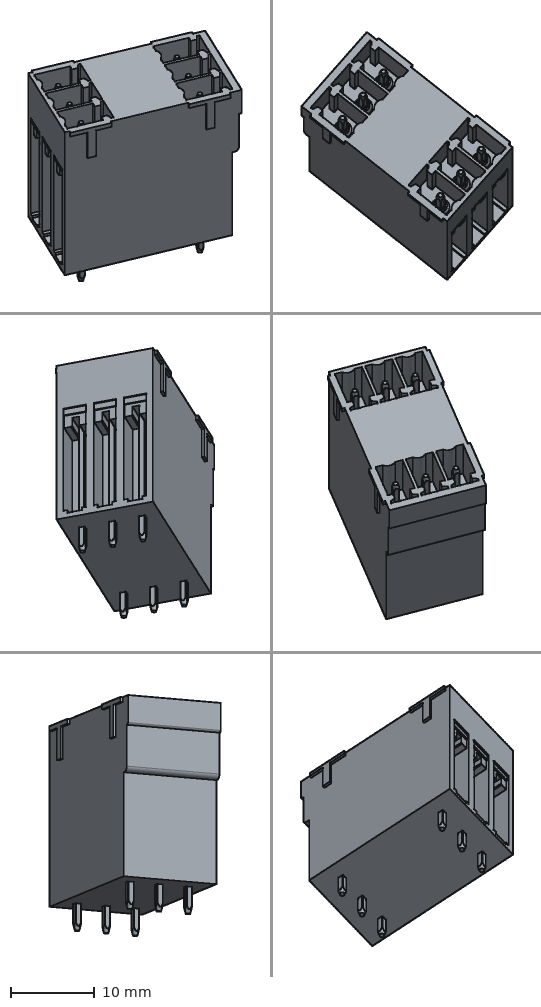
import cadquery as cq
import math


PITCH = 3.82
COLUMN_X = [-PITCH, 0, PITCH]
FRONT_ROW_Y = 2.95
ROW_SPACING = 15.24
ROW_Y = [FRONT_ROW_Y, FRONT_ROW_Y + ROW_SPACING]

OUTER_WIDTH = 12.83
BODY_WIDTH = 12.2
BODY_HEIGHT = 21.85
BASE_DEPTH = 21.45
STEP_DEPTH = 22.35
TOP_DEPTH = 22.7
STEP_Z = 12.65
TOP_STEP_Z = 18.27
STEP_FILLET = 0.63
TOP_STEP_FILLET = 0.25

RIB_BAR_FRONT = -2.35
RIB_BAR_BACK = 2.94
RIB_BAR_HEIGHT = 0.6
RIB_STEM_FRONT = -0.15
RIB_STEM_BACK = 0.93
RIB_HEIGHT = 4.52

POCKET_DEPTH = 5.52
POCKET_FLOOR_Z = BODY_HEIGHT - POCKET_DEPTH
POCKET_HALF_WIDTH = 1.7
POCKET_FRONT = -2.4
POCKET_BACK = 3.51
NECK_HALF_WIDTH = 1.05
NECK_FRONT = 2.18
NECK_BACK = 2.94
NECK_FLARE_BACK = 3.21
BULGE_HALF_WIDTH = 0.8
BULGE_HEIGHT = 0.33

COLLAR_BASE_RADIUS = 1.1
COLLAR_SHOULDER_RADIUS = 0.8
COLLAR_TOP_RADIUS = 0.6
COLLAR_SHOULDER_HEIGHT = 0.63
COLLAR_HEIGHT = 0.8

PIN_WIDTH = 0.8
PIN_CHAMFER = 0.1
PIN_BOTTOM_Z = -3.25
PIN_TOP_Z = BODY_HEIGHT - 1.0
TIP_RADIUS = 0.28
TIP_LENGTH = 1.13

SLOT_WIDTH = 2.84
SLOT_TOP_Z = 15.59
SLOT_LEDGE_Z = 1.05
SLOT_FLOOR_Z = 0.68
SLOT_FLOOR_WIDTH = 1.85
SLOT_BACK_Y = FRONT_ROW_Y + PIN_WIDTH / 2
LINTEL_TOP_Z = 14.75
LINTEL_BOTTOM_Z = 13.05
UPPER_LINTEL_Y = 0.2
LOWER_LINTEL_Y = 0.38
NOTCH_WIDTH = 0.88
NOTCH_TOP_Z = 14.3
NOTCH_CHAMFER = 0.13


def centred_box(width, y0, y1, z0, z1):
    """Box centred on X that spans y0..y1 and z0..z1."""
    block = cq.Workplane("XY").box(width, y1 - y0, z1 - z0, centered=(True, False, False))
    return block.translate((0, y0, z0))


def make_body():
    """Plain block whose back face steps outward twice towards the top."""
    base = centred_box(BODY_WIDTH, 0, BASE_DEPTH, 0, BODY_HEIGHT)
    step = centred_box(BODY_WIDTH, 0, STEP_DEPTH, STEP_Z, BODY_HEIGHT)
    step = step.edges(">Y and <Z").fillet(STEP_FILLET)
    top = centred_box(BODY_WIDTH, 0, TOP_DEPTH, TOP_STEP_Z, BODY_HEIGHT)
    top = top.edges(">Y and <Z").fillet(TOP_STEP_FILLET)
    return base.union(step).union(top)


def make_ribs(row_y):
    """T-shaped block through the housing that stands out as a rib on both sides."""
    bar = centred_box(
        OUTER_WIDTH,
        row_y + RIB_BAR_FRONT,
        row_y + RIB_BAR_BACK,
        BODY_HEIGHT - RIB_BAR_HEIGHT,
        BODY_HEIGHT,
    )
    stem = centred_box(
        OUTER_WIDTH,
        row_y + RIB_STEM_FRONT,
        row_y + RIB_STEM_BACK,
        BODY_HEIGHT - RIB_HEIGHT,
        BODY_HEIGHT,
    )
    return bar.union(stem)


def make_pocket():
    """Keyed plug pocket with a narrow neck at the back and a bulge in its front wall."""
    return (
        cq.Workplane("XY", origin=(0, 0, POCKET_FLOOR_Z))
        .moveTo(-POCKET_HALF_WIDTH, POCKET_FRONT)
        .lineTo(-BULGE_HALF_WIDTH, POCKET_FRONT)
        .threePointArc((0, POCKET_FRONT + BULGE_HEIGHT), (BULGE_HALF_WIDTH, POCKET_FRONT))
        .lineTo(POCKET_HALF_WIDTH, POCKET_FRONT)
        .lineTo(POCKET_HALF_WIDTH, NECK_FRONT)
        .lineTo(NECK_HALF_WIDTH, NECK_FRONT)
        .lineTo(NECK_HALF_WIDTH, NECK_BACK)
        .lineTo(POCKET_HALF_WIDTH, NECK_FLARE_BACK)
        .lineTo(POCKET_HALF_WIDTH, POCKET_BACK)
        .lineTo(-POCKET_HALF_WIDTH, POCKET_BACK)
        .lineTo(-POCKET_HALF_WIDTH, NECK_FLARE_BACK)
        .lineTo(-NECK_HALF_WIDTH, NECK_BACK)
        .lineTo(-NECK_HALF_WIDTH, NECK_FRONT)
        .lineTo(-POCKET_HALF_WIDTH, NECK_FRONT)
        .close()
        .extrude(POCKET_DEPTH)
    )


def make_collar():
    """Steep cone topped by a shallower one, standing on the pocket floor."""
    return (
        cq.Workplane("XZ", origin=(0, 0, POCKET_FLOOR_Z))
        .polyline([
            (0, 0),
            (COLLAR_BASE_RADIUS, 0),
            (COLLAR_SHOULDER_RADIUS, COLLAR_SHOULDER_HEIGHT),
            (COLLAR_TOP_RADIUS, COLLAR_HEIGHT),
            (0, COLLAR_HEIGHT),
        ])
        .close()
        .revolve(360, (0, 0, 0), (0, 1, 0))
    )


def make_slot():
    """Front slot with a stepped lintel, a stepped floor and a notch for the pin."""
    upper = centred_box(SLOT_WIDTH, 0, UPPER_LINTEL_Y, LINTEL_TOP_Z, SLOT_TOP_Z)
    lower = centred_box(SLOT_WIDTH, 0, LOWER_LINTEL_Y, LINTEL_BOTTOM_Z, LINTEL_TOP_Z)
    main = centred_box(SLOT_WIDTH, 0, SLOT_BACK_Y, SLOT_LEDGE_Z, LINTEL_BOTTOM_Z)
    floor = centred_box(SLOT_FLOOR_WIDTH, 0, SLOT_BACK_Y, SLOT_FLOOR_Z, SLOT_LEDGE_Z)
    half = NOTCH_WIDTH / 2
    notch = (
        cq.Workplane("XZ")
        .polyline([
            (-half - NOTCH_CHAMFER, LINTEL_BOTTOM_Z),
            (-half, LINTEL_BOTTOM_Z + NOTCH_CHAMFER),
            (-half, NOTCH_TOP_Z),
            (half, NOTCH_TOP_Z),
            (half, LINTEL_BOTTOM_Z + NOTCH_CHAMFER),
            (half + NOTCH_CHAMFER, LINTEL_BOTTOM_Z),
        ])
        .close()
        .extrude(-SLOT_BACK_Y)
    )
    return upper.union(lower).union(main).union(floor).union(notch)


def make_pin():
    """Square pin with chamfered edges and a conical tip at both ends."""
    shaft = (
        cq.Workplane("XY", origin=(0, 0, PIN_BOTTOM_Z))
        .rect(PIN_WIDTH, PIN_WIDTH)
        .extrude(PIN_TOP_Z - PIN_BOTTOM_Z)
        .edges("|Z")
        .chamfer(PIN_CHAMFER)
    )
    corner_radius = PIN_WIDTH / math.sqrt(2)
    envelope = (
        cq.Workplane("XZ")
        .polyline([
            (0, PIN_BOTTOM_Z),
            (TIP_RADIUS, PIN_BOTTOM_Z),
            (corner_radius, PIN_BOTTOM_Z + TIP_LENGTH),
            (corner_radius, PIN_TOP_Z - TIP_LENGTH),
            (TIP_RADIUS, PIN_TOP_Z),
            (0, PIN_TOP_Z),
        ])
        .close()
        .revolve(360, (0, 0, 0), (0, 1, 0))
    )
    return shaft.intersect(envelope)


def make_housing(pins):
    """Housing with its ribs, pockets, collars and slots, and a matching hole for each pin."""
    housing = make_body()
    for y in ROW_Y:
        housing = housing.union(make_ribs(y))
    for y in ROW_Y:
        for x in COLUMN_X:
            housing = housing.cut(make_pocket().translate((x, y, 0)))
            housing = housing.union(make_collar().translate((x, y, 0)))
    for x in COLUMN_X:
        housing = housing.cut(make_slot().translate((x, 0, 0)))
    for pin in pins:
        housing = housing.cut(pin)
    return housing


pins = [make_pin().translate((x, y, 0)) for y in ROW_Y for x in COLUMN_X]
housing = make_housing(pins)

result = cq.Compound.makeCompound([housing.val(), *[pin.val() for pin in pins]])